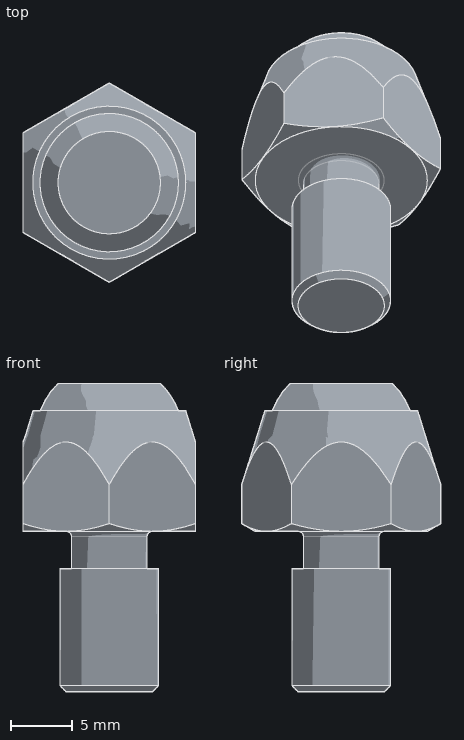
import cadquery as cq
import math


shank_diameter = 8.0
shank_length = 10.0
shank_chamfer = 0.5

neck_diameter = 6.15
neck_length = 3.0
neck_fillet = 0.4

across_flats = 14.0
seat_diameter = 13.95
seat_chamfer_angle = 30.0
crown_diameter = 12.4
crown_height = 9.8
flat_height = 7.25

corner_clearance = 0.2

ball_radius = 6.0
tip_diameter = 8.3
overall_length = 25.0

across_corners = across_flats / math.cos(math.radians(30))
seat_z = shank_length + neck_length
crown_z = seat_z + crown_height
tip_offset = math.sqrt(ball_radius**2 - (tip_diameter / 2) ** 2)
ball_center_z = overall_length - tip_offset


def make_shank():
    """Cylindrical shank with a chamfered free end."""
    shank = cq.Workplane("XY").circle(shank_diameter / 2).extrude(shank_length)
    return shank.faces("<Z").chamfer(shank_chamfer)


def make_neck():
    """Undercut neck that flares into the head seat through a concave fillet."""
    radius = neck_diameter / 2
    fillet_center_r = radius + neck_fillet
    fillet_center_z = seat_z - neck_fillet
    diagonal = neck_fillet * math.sqrt(0.5)
    profile = (
        cq.Workplane("XZ")
        .moveTo(0, shank_length)
        .lineTo(radius, shank_length)
        .lineTo(radius, fillet_center_z)
        .threePointArc(
            (fillet_center_r - diagonal, fillet_center_z + diagonal),
            (fillet_center_r, seat_z),
        )
        .lineTo(0, seat_z)
        .close()
    )
    return profile.revolve(360, (0, 0, 0), (0, 1, 0))


def make_head():
    """Hexagonal prism trimmed by a seat chamfer below and a tapered crown above."""
    hexagon = (
        cq.Workplane("XY", origin=(0, 0, seat_z))
        .polygon(6, across_corners)
        .extrude(crown_height)
        .rotate((0, 0, 0), (0, 0, 1), 30)
    )
    seat_radius = seat_diameter / 2
    crown_radius = crown_diameter / 2
    trim_radius = across_corners / 2 + corner_clearance
    chamfer_slope = math.tan(math.radians(seat_chamfer_angle))
    chamfer_top_z = seat_z + (trim_radius - seat_radius) * chamfer_slope
    crown_slope = (crown_height - flat_height) / (across_flats / 2 - crown_radius)
    crown_bottom_z = crown_z - (trim_radius - crown_radius) * crown_slope
    trim = (
        cq.Workplane("XZ")
        .moveTo(0, seat_z)
        .lineTo(seat_radius, seat_z)
        .lineTo(trim_radius, chamfer_top_z)
        .lineTo(trim_radius, crown_bottom_z)
        .lineTo(crown_radius, crown_z)
        .lineTo(0, crown_z)
        .close()
        .revolve(360, (0, 0, 0), (0, 1, 0))
    )
    return hexagon.intersect(trim)


def make_ball_nose():
    """Spherical zone standing on the crown, cut flat at the tip."""
    base_radius = math.sqrt(ball_radius**2 - (crown_z - ball_center_z) ** 2)
    middle_z = (crown_z + overall_length) / 2
    middle_radius = math.sqrt(ball_radius**2 - (middle_z - ball_center_z) ** 2)
    profile = (
        cq.Workplane("XZ")
        .moveTo(0, crown_z)
        .lineTo(base_radius, crown_z)
        .threePointArc((middle_radius, middle_z), (tip_diameter / 2, overall_length))
        .lineTo(0, overall_length)
        .close()
    )
    return profile.revolve(360, (0, 0, 0), (0, 1, 0))


result = make_shank().union(make_neck()).union(make_head()).union(make_ball_nose())